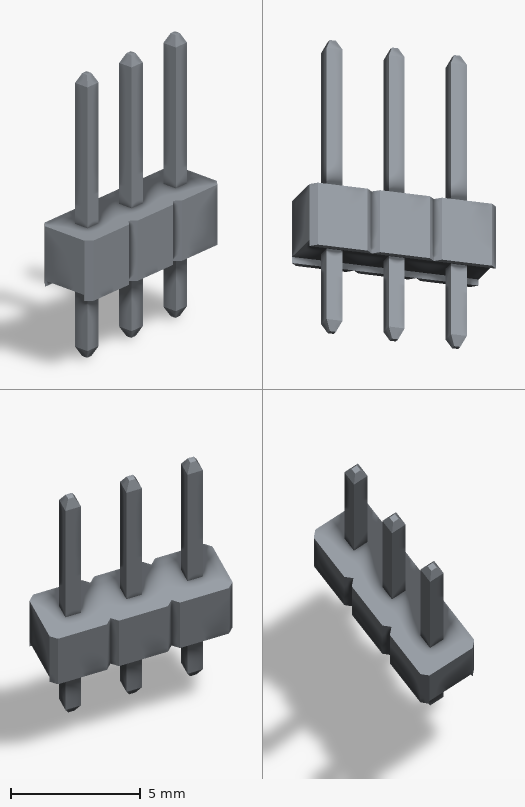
import cadquery as cq

pin_count = 3
row_length = 7.62
pitch = row_length / pin_count
block_height = 2.54
corner_chamfer = 0.25

rail_width = 0.26
channel_depth = 0.25
channel_width = pitch - 2 * rail_width

pin_length = 11.94
pin_width = 0.65
pin_above_block = 6.35
tip_width = 0.25
tip_length = 0.4

pin_top = block_height + pin_above_block
pin_bottom = pin_top - pin_length


def make_block(y):
    """Square block with its four vertical corners chamfered, standing on Z = 0."""
    block = cq.Workplane("XY").box(pitch, pitch, block_height, centered=(True, True, False))
    return block.edges("|Z").chamfer(corner_chamfer).translate((0, y, 0))


def make_tip(y, base_z, end_z):
    """Pyramid frustum narrowing from the pin shank to the tip."""
    return (
        cq.Workplane("XY", origin=(0, y, base_z))
        .rect(pin_width, pin_width)
        .workplane(offset=end_z - base_z)
        .rect(tip_width, tip_width)
        .loft(ruled=True)
    )


def make_pin(y):
    """Square pin with a tapered tip at both ends."""
    shank_bottom = pin_bottom + tip_length
    shank_top = pin_top - tip_length
    shank = (
        cq.Workplane("XY", origin=(0, y, shank_bottom))
        .rect(pin_width, pin_width)
        .extrude(shank_top - shank_bottom)
    )
    top_tip = make_tip(y, shank_top, pin_top)
    bottom_tip = make_tip(y, shank_bottom, pin_bottom)
    return shank.union(top_tip).union(bottom_tip)


pin_places = [(i - (pin_count - 1) / 2) * pitch for i in range(pin_count)]

body = make_block(pin_places[0])
for place in pin_places[1:]:
    body = body.union(make_block(place))

channel = cq.Workplane("XY").box(
    channel_width, row_length, channel_depth, centered=(True, True, False)
)
body = body.cut(channel)

result = body
for place in pin_places:
    result = result.union(make_pin(place))